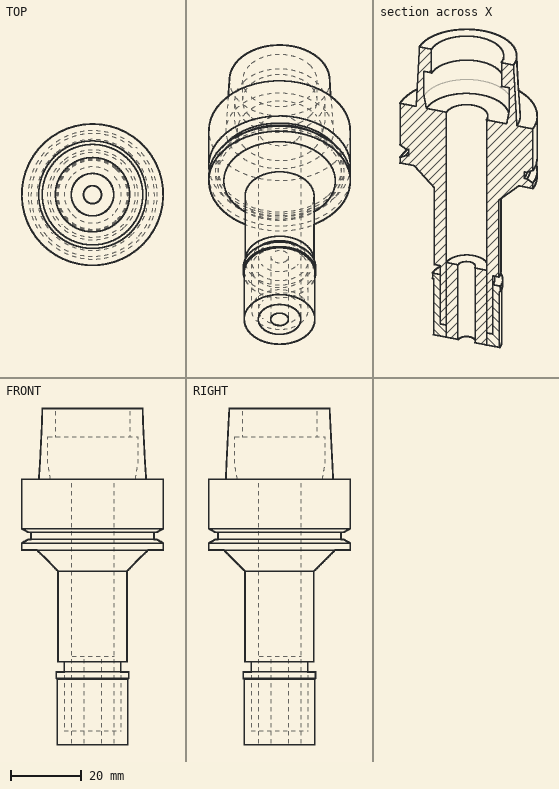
import cadquery as cq
import math


SHANK_LENGTH = 20.0
SHANK_TAPER = 1 / 20
SHANK_BASE_RADIUS = 15.2
SHANK_TOP_RADIUS = SHANK_BASE_RADIUS - SHANK_LENGTH * SHANK_TAPER

FLANGE_RADIUS = 20.0
FLANGE_BOTTOM = -20.0
GROOVE_RADIUS = 17.4
GROOVE_SHOULDER_RADIUS = 18.2
GROOVE_TOP = -15.0
GROOVE_BOTTOM = -17.0
GROOVE_FLANK_ANGLE = math.radians(30.0)
GROOVE_FLANK_HEIGHT = (FLANGE_RADIUS - GROOVE_SHOULDER_RADIUS) * math.tan(GROOVE_FLANK_ANGLE)

NECK_RADIUS = 9.75
NECK_CONE_BOTTOM = -26.0
NECK_CONE_TOP_RADIUS = NECK_RADIUS + (FLANGE_BOTTOM - NECK_CONE_BOTTOM)
NECK_BOTTOM = -51.6
SPIGOT_RADIUS = 8.0

MOUTH_RADIUS = 10.5
MOUTH_DEPTH = 8.0
UNDERCUT_RADIUS = 12.75
UNDERCUT_DEPTH = 15.75
BORE_DEPTH = SHANK_LENGTH
BORE_TAPER_ANGLE = math.radians(10.0)
BORE_FLOOR_RADIUS = UNDERCUT_RADIUS - (BORE_DEPTH - UNDERCUT_DEPTH) * math.tan(BORE_TAPER_ANGLE)

NUT_RADIUS = 10.0
NUT_BOTTOM = -75.0
NUT_TOP = -54.4
NUT_COLLAR_RADIUS = 10.25
NUT_COLLAR_HEIGHT = 1.8
NUT_COLLAR_CHAMFER = NUT_COLLAR_RADIUS - NUT_RADIUS
NUT_LIP_THICKNESS = 4.0
SPIGOT_BOTTOM = NUT_BOTTOM + NUT_LIP_THICKNESS

COLLET_RADIUS = 6.0
COLLET_LENGTH = 25.0
COLLET_BORE_RADIUS = 2.5


def revolve_profile(profile):
    """Turn a closed (radius, height) outline about the Z axis."""
    return profile.close().revolve(360, (0, 0, 0), (0, 1, 0))


def make_holder():
    """Taper shank, grooved flange, neck and spigot, bored through."""
    mouth_bottom = SHANK_LENGTH - MOUTH_DEPTH
    undercut_bottom = SHANK_LENGTH - UNDERCUT_DEPTH
    bore_floor = SHANK_LENGTH - BORE_DEPTH
    outline = (
        cq.Workplane("YZ")
        .moveTo(COLLET_RADIUS, SPIGOT_BOTTOM)
        .lineTo(SPIGOT_RADIUS, SPIGOT_BOTTOM)
        .lineTo(SPIGOT_RADIUS, NECK_BOTTOM)
        .lineTo(NECK_RADIUS, NECK_BOTTOM)
        .lineTo(NECK_RADIUS, NECK_CONE_BOTTOM)
        .lineTo(NECK_CONE_TOP_RADIUS, FLANGE_BOTTOM)
        .lineTo(FLANGE_RADIUS, FLANGE_BOTTOM)
        .lineTo(FLANGE_RADIUS, GROOVE_BOTTOM - GROOVE_FLANK_HEIGHT)
        .lineTo(GROOVE_SHOULDER_RADIUS, GROOVE_BOTTOM)
        .lineTo(GROOVE_RADIUS, GROOVE_BOTTOM)
        .lineTo(GROOVE_RADIUS, GROOVE_TOP)
        .lineTo(GROOVE_SHOULDER_RADIUS, GROOVE_TOP)
        .lineTo(FLANGE_RADIUS, GROOVE_TOP + GROOVE_FLANK_HEIGHT)
        .lineTo(FLANGE_RADIUS, 0)
        .lineTo(SHANK_BASE_RADIUS, 0)
        .lineTo(SHANK_TOP_RADIUS, SHANK_LENGTH)
        .lineTo(MOUTH_RADIUS, SHANK_LENGTH)
        .lineTo(MOUTH_RADIUS, mouth_bottom)
        .lineTo(UNDERCUT_RADIUS, mouth_bottom)
        .lineTo(UNDERCUT_RADIUS, undercut_bottom)
        .lineTo(BORE_FLOOR_RADIUS, bore_floor)
        .lineTo(COLLET_RADIUS, bore_floor)
    )
    return revolve_profile(outline)


def make_nut():
    """Sleeve over the spigot with a chamfered collar on top and a lip around the collet."""
    collar_bottom = NUT_TOP - NUT_COLLAR_HEIGHT
    outline = (
        cq.Workplane("YZ")
        .moveTo(COLLET_RADIUS, NUT_BOTTOM)
        .lineTo(NUT_RADIUS, NUT_BOTTOM)
        .lineTo(NUT_RADIUS, collar_bottom - NUT_COLLAR_CHAMFER)
        .lineTo(NUT_COLLAR_RADIUS, collar_bottom)
        .lineTo(NUT_COLLAR_RADIUS, NUT_TOP)
        .lineTo(SPIGOT_RADIUS, NUT_TOP)
        .lineTo(SPIGOT_RADIUS, SPIGOT_BOTTOM)
        .lineTo(COLLET_RADIUS, SPIGOT_BOTTOM)
    )
    return revolve_profile(outline)


def make_collet():
    """Plain sleeve in the holder bore, flush with the bottom of the nut."""
    return (
        cq.Workplane("XY", origin=(0, 0, NUT_BOTTOM))
        .circle(COLLET_RADIUS)
        .circle(COLLET_BORE_RADIUS)
        .extrude(COLLET_LENGTH)
    )


holder = make_holder()
nut = make_nut()
collet = make_collet()

result = cq.Compound.makeCompound([holder.val(), nut.val(), collet.val()])